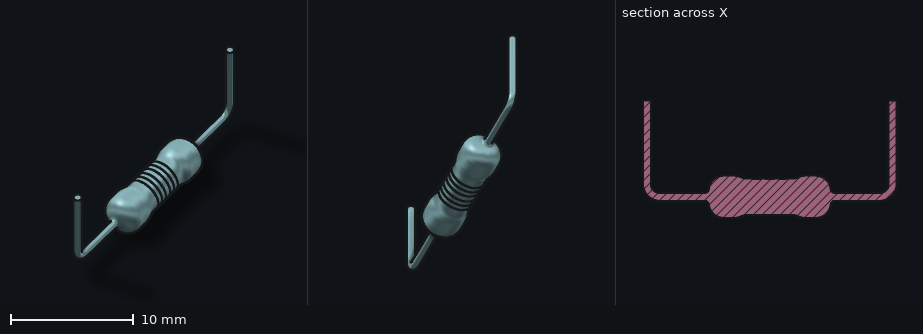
import cadquery as cq
import math

overall_length = 20.7
overall_height = 9.6

wire_radius = 0.7 / 2
bend_radius = 1.04

cap_radius = 3.5 / 2
band_radius = 3.0 / 2
core_radius = 2.98 / 2

band_edges = [0.3, 0.79, 1.28, 1.78]
shoulder_inflection = 2.34
cap_inner = 2.84
cap_outer = 3.79

dome_radius = 1.2
collar_radius = 0.33

leg_y = overall_length / 2 - wire_radius
bend_start_y = leg_y - bend_radius
leg_top_z = overall_height - cap_radius

dome_center_radius = cap_radius - dome_radius
collar_center_radius = wire_radius + collar_radius
center_distance = dome_radius + collar_radius
center_offset = collar_center_radius - dome_center_radius
collar_end = cap_outer + math.sqrt(center_distance**2 - center_offset**2)
contact_angle = math.acos(center_offset / center_distance)

shoulder_start = band_edges[-1]
shoulder_run = cap_inner - shoulder_start
shoulder_rise = cap_radius - band_radius
inflection_fraction = (shoulder_inflection - shoulder_start) / shoulder_run
inflection_radius = band_radius + inflection_fraction * shoulder_rise


def point_on_arc(center, radius, angle):
    """Point as (radial, axial), with the angle measured from the radial direction."""
    return (center[0] + radius * math.cos(angle), center[1] + radius * math.sin(angle))


def make_body_end():
    """Revolved +Y end of the body, from the innermost band out to its collar."""
    inner_edge, inner_band_end, outer_band_start, outer_band_end = band_edges
    dome_center = (dome_center_radius, cap_outer)
    collar_center = (collar_center_radius, collar_end)
    collar_contact = contact_angle + math.pi
    profile = (
        cq.Workplane("XY")
        .moveTo(0, inner_edge)
        .lineTo(band_radius, inner_edge)
        .lineTo(band_radius, inner_band_end)
        .lineTo(core_radius, inner_band_end)
        .lineTo(core_radius, outer_band_start)
        .lineTo(band_radius, outer_band_start)
        .lineTo(band_radius, outer_band_end)
        .tangentArcPoint((inflection_radius, shoulder_inflection), relative=False)
        .tangentArcPoint((cap_radius, cap_inner), relative=False)
        .lineTo(cap_radius, cap_outer)
        .threePointArc(
            point_on_arc(dome_center, dome_radius, contact_angle / 2),
            point_on_arc(dome_center, dome_radius, contact_angle),
        )
        .threePointArc(
            point_on_arc(collar_center, collar_radius, (collar_contact + math.pi) / 2),
            (wire_radius, collar_end),
        )
        .lineTo(0, collar_end)
        .close()
    )
    return profile.revolve(360, (0, 0), (0, 1))


def make_lead():
    """Wire running out of the +Y collar, around the bend and up to its cut end."""
    mid_bend = math.radians(45)
    path = (
        cq.Workplane("YZ")
        .moveTo(collar_end, 0)
        .lineTo(bend_start_y, 0)
        .threePointArc(
            (bend_start_y + bend_radius * math.sin(mid_bend), bend_radius * (1 - math.cos(mid_bend))),
            (leg_y, bend_radius),
        )
        .lineTo(leg_y, leg_top_z)
    )
    return cq.Workplane("XZ", origin=(0, collar_end, 0)).circle(wire_radius).sweep(path)


def make_middle_core():
    """Plain cylinder between the two innermost bands."""
    return cq.Workplane("XZ").circle(core_radius).extrude(band_edges[0], both=True)


end_with_lead = make_body_end().union(make_lead())
result = make_middle_core().union(end_with_lead).union(end_with_lead.mirror("XZ"))